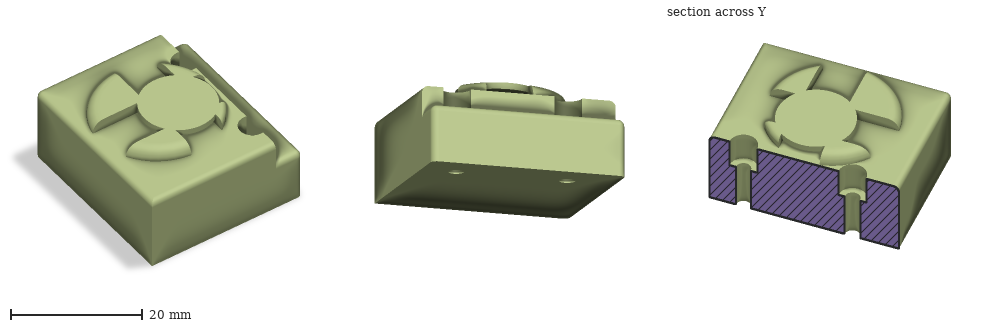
import cadquery as cq

LENGTH_X = 31.0
WIDTH_Y = 28.0
BLOCK_TOP = 13.0
LEDGE_DEPTH = 5.0
LEDGE_TOP = 9.0
EDGE_RADIUS = 1.0

DOME_CENTER = (15.0, 12.0)
DOME_RADIUS = 10.625
DOME_HEIGHT = 2.0
DOME_ROUNDING = 1.99
BACK_RIGHT_ROUNDING = 1.0
DOME_TOP = BLOCK_TOP + DOME_HEIGHT

CHANNEL_X_RANGE = (13.0, 20.15)
CHANNEL_Y_RANGE = (11.1, 18.15)

PLATE_CENTER = (16.5, 15.0)
PLATE_DIAMETER = 12.5
PLATE_THICKNESS = 1.0

SCREW_Y = 22.55
SCREW_HOLES = ((7.6, 2.5), (25.4, 2.4))
COUNTERBORE_DIAMETER = 4.5
COUNTERBORE_DEPTH = 1.0


def box_between(x_range, y_range, z_range):
    """Box that fills the given ranges along X, Y and Z."""
    size_x = x_range[1] - x_range[0]
    size_y = y_range[1] - y_range[0]
    size_z = z_range[1] - z_range[0]
    corner = (x_range[0], y_range[0], z_range[0])
    return cq.Workplane("XY").box(size_x, size_y, size_z, centered=False).translate(corner)


def upright_cylinder(center, diameter, bottom, top):
    return cq.Workplane("XY", origin=(*center, bottom)).circle(diameter / 2).extrude(top - bottom)


def rounded_block(height):
    """Full-plan block, sharp only along its bottom and its front right upright edge."""
    return (
        box_between((0, LENGTH_X), (0, WIDTH_Y), (0, height))
        .edges("(|Z and <X) or (|Z and >X and >Y)")
        .fillet(EDGE_RADIUS)
        .faces(">Z")
        .edges()
        .fillet(EDGE_RADIUS)
    )


def make_body():
    """Tall block in front and ledge behind, meeting at a plain upright wall."""
    wall_y = WIDTH_Y - LEDGE_DEPTH
    front_space = box_between((0, LENGTH_X), (0, wall_y), (0, BLOCK_TOP))
    back_space = box_between((0, LENGTH_X), (wall_y, WIDTH_Y), (0, BLOCK_TOP))
    tall_part = rounded_block(BLOCK_TOP).intersect(front_space)
    ledge = rounded_block(LEDGE_TOP).intersect(back_space)
    return tall_part.union(ledge)


def cut_screw_holes(part):
    """Through bores, each with a counterbore that also bites into the wall above the ledge."""
    counterbore_floor = LEDGE_TOP - COUNTERBORE_DEPTH
    for x, bore_diameter in SCREW_HOLES:
        center = (x, SCREW_Y)
        part = part.cut(upright_cylinder(center, bore_diameter, 0, BLOCK_TOP))
        part = part.cut(upright_cylinder(center, COUNTERBORE_DIAMETER, counterbore_floor, BLOCK_TOP))
    return part


def make_sector(x_range, y_range, rounding):
    """Part of the round-edged dome that lies above the block within the given X and Y ranges."""
    disc = (
        upright_cylinder(DOME_CENTER, 2 * DOME_RADIUS, BLOCK_TOP - DOME_HEIGHT, DOME_TOP)
        .faces(">Z")
        .edges()
        .fillet(rounding)
    )
    return disc.intersect(box_between(x_range, y_range, (BLOCK_TOP, DOME_TOP)))


def add_dome_sectors(part):
    """Four sectors, one in each corner between the crossing channels."""
    left = (0, CHANNEL_X_RANGE[0])
    right = (CHANNEL_X_RANGE[1], LENGTH_X)
    front = (0, CHANNEL_Y_RANGE[0])
    back = (CHANNEL_Y_RANGE[1], WIDTH_Y)
    sectors = (
        (left, front, DOME_ROUNDING),
        (right, front, DOME_ROUNDING),
        (left, back, DOME_ROUNDING),
        (right, back, BACK_RIGHT_ROUNDING),
    )
    for x_range, y_range, rounding in sectors:
        part = part.union(make_sector(x_range, y_range, rounding))
    return part


def add_plate(part):
    """Round plate level with the dome top, leaving the channels open beneath it."""
    return part.union(
        upright_cylinder(PLATE_CENTER, PLATE_DIAMETER, DOME_TOP - PLATE_THICKNESS, DOME_TOP)
    )


result = add_plate(add_dome_sectors(cut_screw_holes(make_body())))